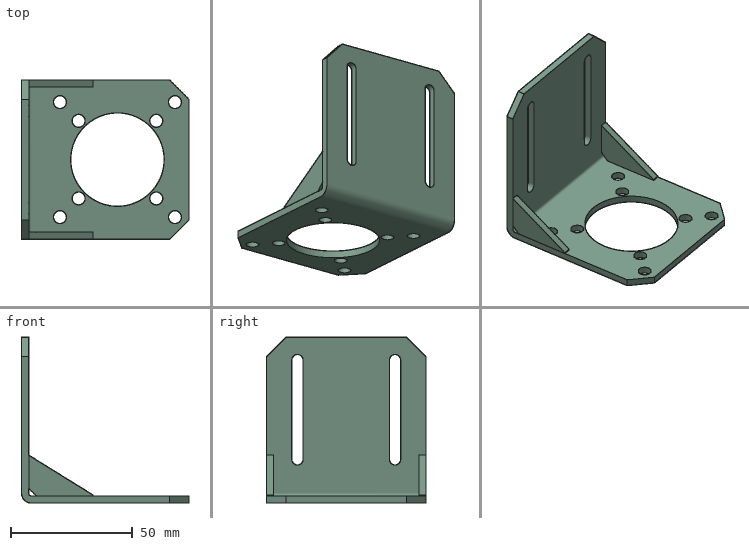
import cadquery as cq

base_length = 68.7
wall_height = 68.08
bracket_width = 65.45
plate_thickness = 3.0
bend_inner_radius = 1.1
bend_outer_radius = bend_inner_radius + plate_thickness
corner_chamfer = 8.0

motor_axis_x = 39.35
pilot_diameter = 38.2
screw_hole_diameter = 5.2
inner_hole_spacing = 31.82
outer_hole_spacing = 47.14

slot_width = 4.5
slot_length = 45.2
slot_spacing = 40.0
slot_center_z = 38.3

gusset_thickness = 3.0
gusset_leg_x = 26.3
gusset_leg_z = 16.7
gusset_toe_height = 0.4
gusset_corner_relief = 3.05


def bent_plate():
    """L-shaped sheet with a rounded bend and chamfered free corners."""
    plate = (
        cq.Workplane("XZ")
        .polyline([
            (0, 0),
            (base_length, 0),
            (base_length, plate_thickness),
            (plate_thickness, plate_thickness),
            (plate_thickness, wall_height),
            (0, wall_height),
        ])
        .close()
        .extrude(bracket_width / 2, both=True)
    )
    inner_bend = cq.selectors.NearestToPointSelector((plate_thickness, 0, plate_thickness))
    plate = plate.edges("|Y").edges(inner_bend).fillet(bend_inner_radius)
    plate = plate.edges("|Y").edges("<X and <Z").fillet(bend_outer_radius)
    plate = plate.faces(">X").edges("|Z").chamfer(corner_chamfer)
    return plate.faces(">Z").edges("|X").chamfer(corner_chamfer)


def motor_holes():
    """Cutters for the pilot bore and the two square screw patterns."""
    base_plane = cq.Workplane("XY", origin=(motor_axis_x, 0, 0))
    cutters = base_plane.circle(pilot_diameter / 2).extrude(plate_thickness)
    for spacing in (inner_hole_spacing, outer_hole_spacing):
        screws = (
            base_plane.rect(spacing, spacing, forConstruction=True)
            .vertices()
            .circle(screw_hole_diameter / 2)
            .extrude(plate_thickness)
        )
        cutters = cutters.add(screws)
    return cutters.combine()


def wall_slots():
    """Cutters for the pair of upright slots."""
    return (
        cq.Workplane("YZ", origin=(0, 0, slot_center_z))
        .pushPoints([(-slot_spacing / 2, 0), (slot_spacing / 2, 0)])
        .slot2D(slot_length, slot_width, 90)
        .extrude(plate_thickness)
    )


def gusset(outer_face_y):
    """Triangular brace with its corner cut clear of the bend; it extends toward +Y."""
    return (
        cq.Workplane("XZ", origin=(plate_thickness, outer_face_y, plate_thickness))
        .polyline([
            (gusset_corner_relief, 0),
            (gusset_leg_x, 0),
            (gusset_leg_x, gusset_toe_height),
            (0, gusset_leg_z),
            (0, gusset_corner_relief),
        ])
        .close()
        .extrude(-gusset_thickness)
    )


bracket = bent_plate().cut(motor_holes()).cut(wall_slots())

gussets = []
for gusset_start_y in (-bracket_width / 2, bracket_width / 2 - gusset_thickness):
    gussets.append(gusset(gusset_start_y).val())

result = cq.Compound.makeCompound([bracket.val(), *gussets])